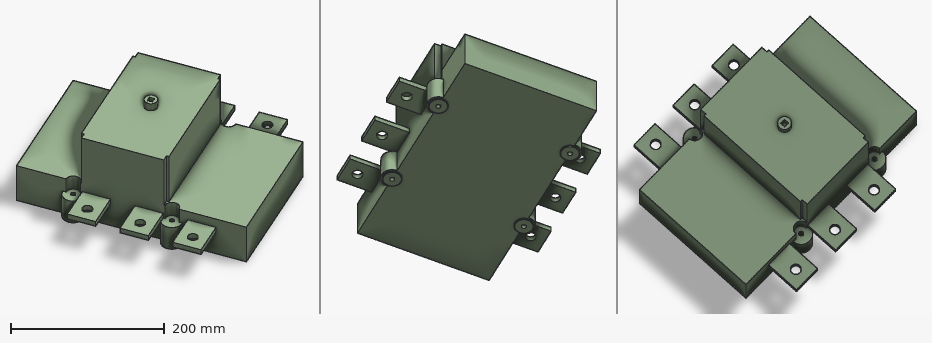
import cadquery as cq


base_length = 325.0
base_width = 190.0
base_height = 58.5

tower_center_x = -12.5
tower_length = 123.5
tower_top = 134.5
notch_length = 3.5
notch_width = 9.0

overall_height = 148.0
foot_height = 2.0
shaft_diameter = 18.0
shaft_top = overall_height - foot_height
socket_side = 7.0
socket_depth = shaft_top - tower_top

overall_width = 290.0
tab_width = 40.0
tab_thickness = 8.0
tab_bottom = 36.5
tab_hole_diameter = 14.0
tab_hole_edge_distance = 20.0
tab_pitch = 74.5
middle_tab_x = 25.0

boss_spacing_x = 139.5
boss_diameter = 30.0
boss_height = tab_bottom
screw_hole_diameter = 6.5
screw_head_clearance = 20.0
foot_diameter = 26.0
foot_chamfer = 1.0

boss_points = [
    (tower_center_x + side_x * boss_spacing_x / 2, side_y * base_width / 2)
    for side_x in (-1, 1)
    for side_y in (-1, 1)
]


def box_between(length, width, bottom, top, x=0.0, y=0.0):
    """Box centred on (x, y) that spans the given heights."""
    return cq.Workplane("XY", origin=(x, y, bottom)).rect(length, width).extrude(top - bottom)


def cylinders(points, diameter, bottom, top):
    """Equal vertical cylinders at the given points."""
    plane = cq.Workplane("XY", origin=(0, 0, bottom))
    return plane.pushPoints(points).circle(diameter / 2).extrude(top - bottom)


def make_tower():
    """Upper housing with a rectangular notch down each vertical corner."""
    tower = box_between(tower_length, base_width, base_height, tower_top, tower_center_x)
    notches = (
        cq.Workplane("XY", origin=(tower_center_x, 0, base_height))
        .rect(tower_length, base_width, forConstruction=True)
        .vertices()
        .rect(2 * notch_length, 2 * notch_width)
        .extrude(tower_top - base_height)
    )
    return tower.cut(notches)


def make_tabs():
    """Three flat bars across the base, with a hole near each end."""
    tab_top = tab_bottom + tab_thickness
    hole_y = overall_width / 2 - tab_hole_edge_distance
    tab_positions = [middle_tab_x + step * tab_pitch for step in (-1, 0, 1)]
    hole_points = [(x, side * hole_y) for x in tab_positions for side in (-1, 1)]
    tabs = cq.Workplane("XY")
    for x in tab_positions:
        tabs = tabs.add(box_between(tab_width, overall_width, tab_bottom, tab_top, x))
    return tabs.combine().cut(cylinders(hole_points, tab_hole_diameter, tab_bottom, tab_top))


def make_bosses():
    """Mounting bosses with a smaller chamfered foot below each one."""
    feet = cylinders(boss_points, foot_diameter, -foot_height, 0)
    feet = feet.faces("<Z").chamfer(foot_chamfer)
    return cylinders(boss_points, boss_diameter, 0, boss_height).union(feet)


def make_shaft():
    """Round shaft with a square socket in its top face."""
    shaft = cylinders([(tower_center_x, 0)], shaft_diameter, tower_top, shaft_top)
    socket = box_between(
        socket_side, socket_side, shaft_top - socket_depth, shaft_top, tower_center_x
    )
    return shaft.cut(socket)


housing = box_between(base_length, base_width, 0, base_height)
head_pockets = cylinders(boss_points, screw_head_clearance, boss_height, base_height)
screw_holes = cylinders(boss_points, screw_hole_diameter, -foot_height, boss_height)

result = (
    housing.cut(head_pockets)
    .union(make_tower())
    .union(make_bosses())
    .union(make_tabs())
    .union(make_shaft())
    .cut(screw_holes)
)